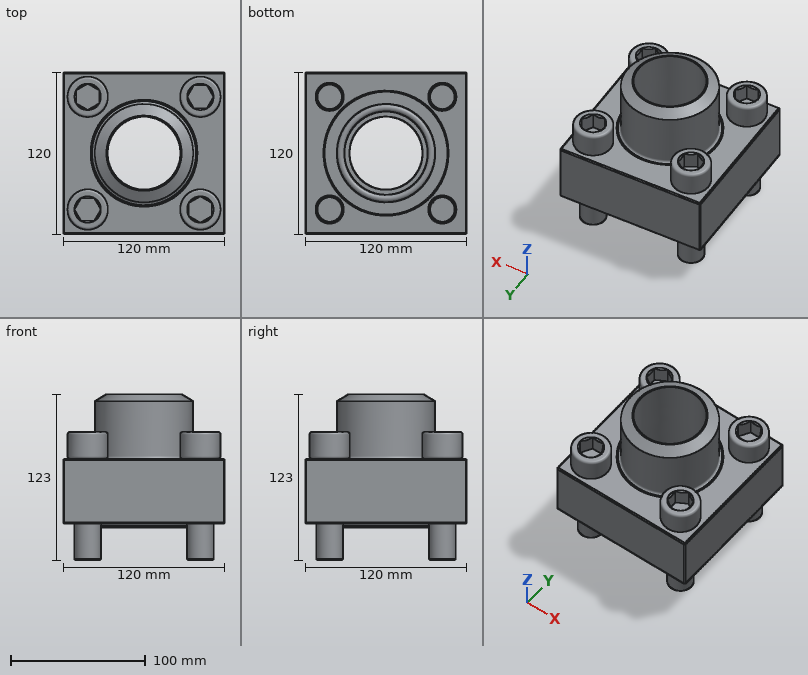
import math

import cadquery as cq

TOTAL_HEIGHT = 123.0
FLANGE_HEIGHT = 48.1
FLANGE_BOTTOM = 26.9
FLANGE_TOP = FLANGE_BOTTOM + FLANGE_HEIGHT

FLANGE_SIDE = 120.0
FLANGE_CHAMFER = 1.0
FLANGE_BORE_DIA = 77.5
FLANGE_RECESS_DIA = 93.0
SHOULDER_Z = FLANGE_BOTTOM + FLANGE_HEIGHT / 2
BOLT_HOLE_DIA = 21.0

COLLAR_DIA = 92.0
COLLAR_STANDOUT = 2.0
COLLAR_CHAMFER = 0.5
COLLAR_BOTTOM = FLANGE_BOTTOM - COLLAR_STANDOUT
NECK_GUIDE_DIA = 77.0
NECK_DIA = 73.0
NECK_FILLET = (NECK_GUIDE_DIA - NECK_DIA) / 2
WELD_BEVEL_HEIGHT = 5.0
PIPE_BORE_DIA = 54.0
WELD_LAND_WIDTH = 1.0
PIPE_BORE_DEPTH = 24.0
INLET_BORE_DIA = 54.5

GROOVE_INNER_DIA = 61.5
GROOVE_OUTER_DIA = 73.2
RING_SECTION_DIA = 5.3
RING_STANDOUT = 1.1
GROOVE_DEPTH = RING_SECTION_DIA - RING_STANDOUT
RING_CENTRE_RADIUS = (GROOVE_INNER_DIA + GROOVE_OUTER_DIA) / 4

BOLT_COUNT = 4
BOLT_SPACING = 83.5
BOLT_DIA = 20.0
BOLT_TIP_CHAMFER = 1.0
BOLT_HEAD_DIA = 30.0
BOLT_HEAD_HEIGHT = BOLT_DIA
BOLT_HEAD_FILLET = 2.0
BOLT_TOP = FLANGE_TOP + BOLT_HEAD_HEIGHT
SOCKET_SIDES = 6
SOCKET_CORNER_DIA = 19.7
SOCKET_DEPTH = 13.5


def cylinder(diameter, bottom, top):
    """Solid cylinder on the Z axis between two levels."""
    return cq.Workplane("XY").workplane(offset=bottom).circle(diameter / 2).extrude(top - bottom)


def make_flange():
    """Square plate with a stepped bore for the neck and four bolt holes."""
    block = (
        cq.Workplane("XY")
        .workplane(offset=FLANGE_BOTTOM)
        .rect(FLANGE_SIDE, FLANGE_SIDE)
        .extrude(FLANGE_HEIGHT)
        .edges()
        .chamfer(FLANGE_CHAMFER)
    )
    bore = cylinder(FLANGE_BORE_DIA, FLANGE_BOTTOM, FLANGE_TOP)
    recess = cylinder(FLANGE_RECESS_DIA, FLANGE_BOTTOM, SHOULDER_Z)
    bolt_holes = (
        cq.Workplane("XY")
        .workplane(offset=FLANGE_BOTTOM)
        .rect(BOLT_SPACING, BOLT_SPACING, forConstruction=True)
        .vertices()
        .circle(BOLT_HOLE_DIA / 2)
        .extrude(FLANGE_HEIGHT)
    )
    bored = block.cut(bore).cut(recess).cut(bolt_holes)
    largest_circle = cq.selectors.RadiusNthSelector(-1)
    return bored.faces(">Z").edges("%CIRCLE").edges(largest_circle).chamfer(FLANGE_CHAMFER)


def make_neck():
    """Turned weld neck with a collar, a bevelled end, a flared bore and a ring groove."""
    neck_radius = NECK_DIA / 2
    guide_radius = NECK_GUIDE_DIA / 2
    collar_radius = COLLAR_DIA / 2
    pipe_bore_radius = PIPE_BORE_DIA / 2
    fillet_mid_offset = NECK_FILLET * (1 - math.sqrt(0.5))
    body = (
        cq.Workplane("XZ")
        .moveTo(INLET_BORE_DIA / 2, COLLAR_BOTTOM)
        .lineTo(collar_radius - COLLAR_CHAMFER, COLLAR_BOTTOM)
        .lineTo(collar_radius, COLLAR_BOTTOM + COLLAR_CHAMFER)
        .lineTo(collar_radius, SHOULDER_Z)
        .lineTo(guide_radius, SHOULDER_Z)
        .lineTo(guide_radius, FLANGE_TOP)
        .threePointArc(
            (neck_radius + fillet_mid_offset, FLANGE_TOP + fillet_mid_offset),
            (neck_radius, FLANGE_TOP + NECK_FILLET),
        )
        .lineTo(neck_radius, TOTAL_HEIGHT - WELD_BEVEL_HEIGHT)
        .lineTo(pipe_bore_radius + WELD_LAND_WIDTH, TOTAL_HEIGHT)
        .lineTo(pipe_bore_radius, TOTAL_HEIGHT)
        .lineTo(pipe_bore_radius, TOTAL_HEIGHT - PIPE_BORE_DEPTH)
        .close()
        .revolve(360, (0, 0, 0), (0, 1, 0))
    )
    groove_top = COLLAR_BOTTOM + GROOVE_DEPTH
    groove = cylinder(GROOVE_OUTER_DIA, COLLAR_BOTTOM, groove_top).cut(
        cylinder(GROOVE_INNER_DIA, COLLAR_BOTTOM, groove_top)
    )
    return body.cut(groove)


def make_sealing_ring():
    """Round-section ring seated on the groove floor and standing out below the collar."""
    section_radius = RING_SECTION_DIA / 2
    return (
        cq.Workplane("XZ")
        .center(RING_CENTRE_RADIUS, COLLAR_BOTTOM + GROOVE_DEPTH - section_radius)
        .circle(section_radius)
        .revolve(360, (-RING_CENTRE_RADIUS, 0, 0), (-RING_CENTRE_RADIUS, 1, 0))
    )


def make_bolt():
    """Socket head bolt on the Z axis, with two socket corners on the X axis."""
    head = cylinder(BOLT_HEAD_DIA, FLANGE_TOP, BOLT_TOP).edges().fillet(BOLT_HEAD_FILLET)
    shank = cylinder(BOLT_DIA, 0, FLANGE_TOP + BOLT_HEAD_FILLET).faces("<Z").chamfer(BOLT_TIP_CHAMFER)
    socket = (
        cq.Workplane("XY")
        .workplane(offset=BOLT_TOP - SOCKET_DEPTH)
        .polygon(SOCKET_SIDES, SOCKET_CORNER_DIA)
        .extrude(SOCKET_DEPTH)
    )
    lead_radius = SOCKET_CORNER_DIA / 2
    lead_depth = lead_radius
    lead_tip = cq.Vector(0, 0, BOLT_TOP - lead_depth)
    lead_in = cq.Workplane(cq.Solid.makeCone(0, lead_radius, lead_depth, pnt=lead_tip))
    return head.union(shank).cut(socket).cut(lead_in)


def make_bolts():
    """Equal bolts, each turned a quarter turn about the flange axis from the one before."""
    corner_bolt = make_bolt().translate((BOLT_SPACING / 2, BOLT_SPACING / 2, 0))
    bolts = []
    for index in range(BOLT_COUNT):
        angle = index * 360 / BOLT_COUNT
        bolts.append(corner_bolt.rotate((0, 0, 0), (0, 0, 1), angle).val())
    return bolts


flange = make_flange()
neck = make_neck()
sealing_ring = make_sealing_ring()
bolts = make_bolts()

result = cq.Compound.makeCompound([flange.val(), neck.val(), sealing_ring.val(), *bolts])